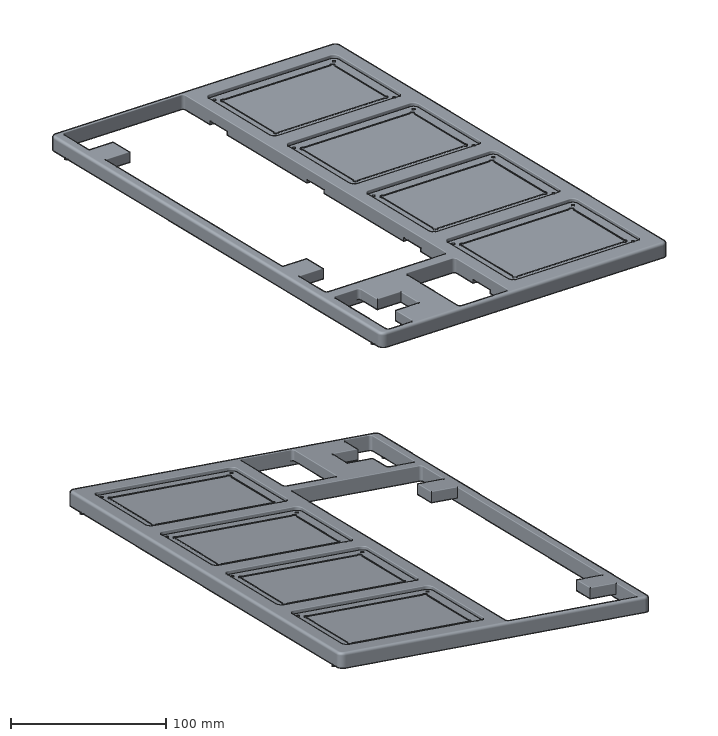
import cadquery as cq
FRAME_LENGTH = 361.38
FRAME_WIDTH = 228.7
TOTAL_HEIGHT = 13.0
FOOT_HEIGHT = 2.6
BODY_HEIGHT = TOTAL_HEIGHT - FOOT_HEIGHT
FRAME_CORNER_RADIUS = 4.4
TOP_EDGE_FILLET = 1.9

SIDE_RAIL = 3.9
FRONT_RAIL = 7.4
OPENING_BACK_Y = -10.5
OPENING_CORNER_RADIUS = 2.0
OPENING_LEFT_X = -FRAME_LENGTH / 2 + SIDE_RAIL
OPENING_RIGHT_X = -OPENING_LEFT_X
OPENING_FRONT_Y = -FRAME_WIDTH / 2 + FRONT_RAIL
DIVIDER_LEFT_X = 109.8
DIVIDER_WIDTH = 8.6
DIVIDER_RIGHT_X = DIVIDER_LEFT_X + DIVIDER_WIDTH

PLATE_THICKNESS = 7.5
PLATE_BOTTOM_Z = BODY_HEIGHT - PLATE_THICKNESS
PLATE_BACK_Y = -49.6
PLATE_FRONT_Y = -86.5

TAB_WIDTH = 18.4
TAB_TIP_Y = -87.8
TAB_CENTERS_X = (-138.75, 71.9)
SLOT_CENTER_X = (DIVIDER_RIGHT_X + OPENING_RIGHT_X) / 2
SLOT_WIDTH = 19.5
SLOT_BACK_Y = -67.8

NOTCH_CENTERS_X = (TAB_CENTERS_X[0], -33.4, TAB_CENTERS_X[1], SLOT_CENTER_X)
NOTCH_WIDTH = 18.5
NOTCH_HEIGHT = 2.6
NOTCH_DEPTH = 5.0

RIM_RADIUS = 0.5

TRAY_COUNT = 4
TRAY_PITCH = 86.7
TRAY_LENGTH = 73.8
TRAY_WIDTH = 103.6
TRAY_CENTER_Y = 51.4
TRAY_DEPTH = 2.4
TRAY_CORNER_RADIUS = 4.0
FLOOR_LENGTH = 59.4
FLOOR_WIDTH = 89.0
FLOOR_DEPTH = 0.6
RELIEF_DIAMETER = 3.1
RELIEF_INSET = 0.85
SCREW_HOLE_DIAMETER = 2.08
SCREW_SPACING_X = 65.5
SCREW_SPACING_Y = 95.4
SCREW_HOLE_DEPTH = 5.0

FOOT_X = 166.9
FOOT_Y = 111.0
FOOT_STEM_DIAMETER = 2.08
FOOT_HEAD_DIAMETER = 3.1
FOOT_HEAD_HEIGHT = 0.4


def block(x_min, x_max, y_min, y_max, z_min, z_max):
    """Axis-aligned block between two opposite corners."""
    size = (x_max - x_min, y_max - y_min, z_max - z_min)
    return cq.Workplane("XY").box(*size, centered=False).translate((x_min, y_min, z_min))


def pegs(points, diameter, z_min, z_max):
    """Vertical cylinders at the given points."""
    base = cq.Workplane("XY").workplane(offset=z_min).pushPoints(points)
    return base.circle(diameter / 2).extrude(z_max - z_min)


def body():
    """Solid slab with rounded corners and a rounded top edge."""
    slab = cq.Workplane("XY").box(FRAME_LENGTH, FRAME_WIDTH, BODY_HEIGHT, centered=(True, True, False))
    slab = slab.edges("|Z").fillet(FRAME_CORNER_RADIUS)
    return slab.faces(">Z").edges().fillet(TOP_EDGE_FILLET)


def opening(x_min, x_max, y_min, y_max, z_min):
    """Opening with rounded corners, cut from the top down to z_min."""
    cutter = block(x_min, x_max, y_min, y_max, z_min, BODY_HEIGHT)
    return cutter.edges("|Z").fillet(OPENING_CORNER_RADIUS)


def tab(center_x):
    """Tab reaching back from the front rail, flush with the top."""
    left = center_x - TAB_WIDTH / 2
    return block(left, left + TAB_WIDTH, OPENING_FRONT_Y, TAB_TIP_Y, PLATE_BOTTOM_Z, BODY_HEIGHT)


def main_opening():
    """Large opening with the two tabs left standing on the front rail."""
    cutter = opening(OPENING_LEFT_X, DIVIDER_LEFT_X, OPENING_FRONT_Y, OPENING_BACK_Y, 0)
    for center_x in TAB_CENTERS_X:
        cutter = cutter.cut(tab(center_x))
    return cutter


def side_openings():
    """Two right-hand openings and the front slot, joined below the bridge plate."""
    back = opening(DIVIDER_RIGHT_X, OPENING_RIGHT_X, PLATE_BACK_Y, OPENING_BACK_Y, PLATE_BOTTOM_Z)
    front = opening(DIVIDER_RIGHT_X, OPENING_RIGHT_X, OPENING_FRONT_Y, PLATE_FRONT_Y, PLATE_BOTTOM_Z)
    slot_left = SLOT_CENTER_X - SLOT_WIDTH / 2
    slot_right = SLOT_CENTER_X + SLOT_WIDTH / 2
    slot_front_y = PLATE_FRONT_Y - OPENING_CORNER_RADIUS
    slot = block(slot_left, slot_right, slot_front_y, SLOT_BACK_Y, PLATE_BOTTOM_Z, BODY_HEIGHT)
    below = block(DIVIDER_RIGHT_X, OPENING_RIGHT_X, OPENING_FRONT_Y, OPENING_BACK_Y, 0, PLATE_BOTTOM_Z)
    below = below.edges("|Z").fillet(OPENING_CORNER_RADIUS)
    return below.union(back).union(front).union(slot)


def notch(center_x):
    """Shallow notch in the bottom of the wall behind the openings."""
    left = center_x - NOTCH_WIDTH / 2
    return block(left, left + NOTCH_WIDTH, OPENING_BACK_Y, OPENING_BACK_Y + NOTCH_DEPTH, 0, NOTCH_HEIGHT)


def corner_points(center_x, spacing_x, spacing_y):
    """Four corners of a rectangle centred on a tray."""
    return [
        (center_x + side_x * spacing_x / 2, TRAY_CENTER_Y + side_y * spacing_y / 2)
        for side_x in (-1, 1)
        for side_y in (-1, 1)
    ]


def tray(center_x):
    """Recess with a sunken floor, relieved floor corners and four screw holes."""
    ledge_z = BODY_HEIGHT - TRAY_DEPTH
    floor_z = ledge_z - FLOOR_DEPTH
    recess = cq.Workplane("XY").box(TRAY_LENGTH, TRAY_WIDTH, TRAY_DEPTH, centered=(True, True, False))
    recess = recess.edges("|Z").fillet(TRAY_CORNER_RADIUS).translate((center_x, TRAY_CENTER_Y, ledge_z))
    floor = cq.Workplane("XY").box(FLOOR_LENGTH, FLOOR_WIDTH, FLOOR_DEPTH, centered=(True, True, False))
    floor = floor.translate((center_x, TRAY_CENTER_Y, floor_z))
    relief_points = corner_points(center_x, FLOOR_LENGTH - 2 * RELIEF_INSET, FLOOR_WIDTH - 2 * RELIEF_INSET)
    reliefs = pegs(relief_points, RELIEF_DIAMETER, floor_z, ledge_z)
    hole_points = corner_points(center_x, SCREW_SPACING_X, SCREW_SPACING_Y)
    holes = pegs(hole_points, SCREW_HOLE_DIAMETER, ledge_z - SCREW_HOLE_DEPTH, ledge_z)
    return recess.union(floor).union(reliefs).union(holes)


def soften_top_rims(frame):
    """Round the top rim of every opening and tray."""
    top_face = frame.faces(">Z").val()
    rim_edges = [edge for wire in top_face.innerWires() for edge in wire.Edges()]
    return frame.newObject(rim_edges).fillet(RIM_RADIUS)


def feet():
    """Six headed pins under the frame."""
    points = [(side * FOOT_X, y) for side in (-1, 1) for y in (-FOOT_Y, 0, FOOT_Y)]
    stems = pegs(points, FOOT_STEM_DIAMETER, -FOOT_HEIGHT, 0)
    heads = pegs(points, FOOT_HEAD_DIAMETER, -FOOT_HEIGHT, FOOT_HEAD_HEIGHT - FOOT_HEIGHT)
    return stems.union(heads)


result = body().cut(main_opening()).cut(side_openings())
for notch_x in NOTCH_CENTERS_X:
    result = result.cut(notch(notch_x))
for index in range(TRAY_COUNT):
    result = result.cut(tray((index - (TRAY_COUNT - 1) / 2) * TRAY_PITCH))
result = soften_top_rims(result)
result = result.union(feet())